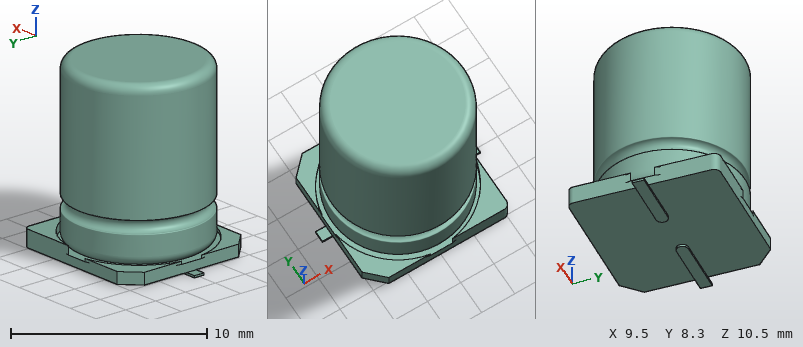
import cadquery as cq
import math

total_height = 10.5
lead_span = 9.5
base_width = 8.3

lead_thickness = 0.13
lead_width = 0.65
lead_inner_gap = 2.2

low_top = 0.83
high_top = 1.15
seat_floor = 0.65
seat_radius = 4.2
corner_chamfer = 0.99
corner_radius = 0.37

can_radius = 8.0 / 2
can_rounding = 0.54
groove_center = 2.79
groove_radius = 0.38
groove_lip_radius = 0.04


def make_base():
    """Stepped square plate with two chamfered corners, two rounded ones and a round seat."""
    plate = (
        cq.Workplane("XY")
        .workplane(offset=lead_thickness)
        .rect(base_width, base_width)
        .extrude(high_top - lead_thickness)
        .edges("|Z and <X")
        .chamfer(corner_chamfer)
        .edges("|Z and >X")
        .fillet(corner_radius)
    )
    low_half = (
        cq.Workplane("XY")
        .workplane(offset=low_top)
        .center(-base_width / 2, 0)
        .rect(base_width, base_width)
        .extrude(high_top - low_top)
    )
    seat = (
        cq.Workplane("XY")
        .workplane(offset=seat_floor)
        .circle(seat_radius)
        .extrude(high_top - seat_floor)
    )
    return plate.cut(low_half).cut(seat)


def make_can():
    """Cylinder rounded at both ends, with a half-round, soft-lipped groove near the bottom."""
    inset_ratio = 1 - math.sqrt(0.5)
    inset = can_rounding * inset_ratio
    lip_inset = groove_lip_radius * inset_ratio
    groove_center_radius = can_radius - groove_lip_radius
    flat_radius = can_radius - can_rounding
    profile = (
        cq.Workplane("XZ")
        .moveTo(0, seat_floor)
        .lineTo(flat_radius, seat_floor)
        .threePointArc(
            (can_radius - inset, seat_floor + inset),
            (can_radius, seat_floor + can_rounding),
        )
        .lineTo(can_radius, groove_center - groove_radius - groove_lip_radius)
        .threePointArc(
            (can_radius - lip_inset, groove_center - groove_radius - lip_inset),
            (groove_center_radius, groove_center - groove_radius),
        )
        .threePointArc(
            (groove_center_radius - groove_radius, groove_center),
            (groove_center_radius, groove_center + groove_radius),
        )
        .threePointArc(
            (can_radius - lip_inset, groove_center + groove_radius + lip_inset),
            (can_radius, groove_center + groove_radius + groove_lip_radius),
        )
        .lineTo(can_radius, total_height - can_rounding)
        .threePointArc(
            (can_radius - inset, total_height - inset),
            (flat_radius, total_height),
        )
        .lineTo(0, total_height)
        .close()
    )
    return profile.revolve(360, (0, 0), (0, 1))


def make_lead(side):
    """Flat strip with a half-round inner end; side is -1 for -X and +1 for +X."""
    outer_x = side * lead_span / 2
    tip_x = side * lead_inner_gap / 2
    round_start_x = tip_x + side * lead_width / 2
    return (
        cq.Workplane("XY")
        .moveTo(outer_x, -lead_width / 2)
        .lineTo(round_start_x, -lead_width / 2)
        .threePointArc((tip_x, 0), (round_start_x, lead_width / 2))
        .lineTo(outer_x, lead_width / 2)
        .close()
        .extrude(lead_thickness)
    )


result = make_base().union(make_can())
for side in (-1, 1):
    result = result.union(make_lead(side))